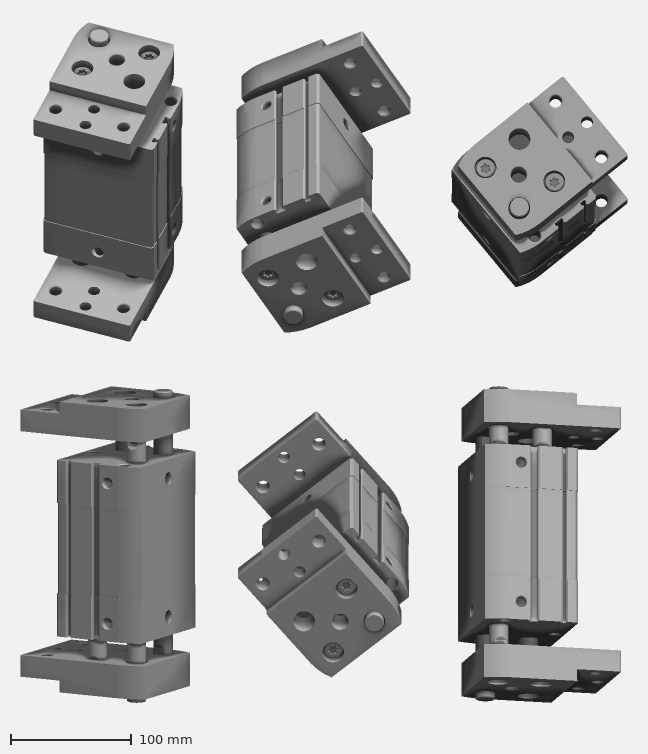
import cadquery as cq
import math


HOUSING_WIDTH = 98.0
HOUSING_DEPTH = 79.0
HOUSING_HEIGHT = 148.0
CAP_HEIGHT = 36.0
MIDDLE_INSET = 0.64
HOUSING_CHAMFER = 2.0
SIDE_ROUND_DEPTH = 19.5
SIDE_ROUND_INSET = 4.0

SLOT_DEPTH = 5.0
SLOT_LIP = 2.5
SLOT_UNDERCUT = 1.0
WIDE_SLOT_Y = 41.5
WIDE_SLOT_NECK = 5.9
NARROW_SLOT_Y = 67.2
NARROW_SLOT_NECK = 2.8
SLOT_CHAMFER = 1.3

CROSS_HOLE_DIAMETER = 11.0
CROSS_HOLE_Z = 58.0
SIDE_HOLE_DIAMETER = 8.6
SIDE_HOLE_Y = 30.0
SIDE_HOLE_Z = 59.0
SIDE_HOLE_DEPTH = 5.0
END_HOLE_DIAMETER = 10.2
SIDE_END_HOLE_X = 41.5
SIDE_END_HOLE_Y = 18.0
FRONT_END_HOLE_Y = 71.5
END_HOLE_DEPTH = 25.5
HOLE_CHAMFER = 0.8

ROD_DIAMETER = 16.0
ROD_CHAMFER = 0.8
REAR_ROD_X = 22.1
REAR_ROD_Y = 17.5
FRONT_ROD_X = 23.0
FRONT_ROD_Y = 54.5
FLAT_WIDTH = 13.0
FLAT_RAMP = 2.5
REAR_FLAT_LENGTH = 6.4
FRONT_FLAT_LENGTH = 0.8

OVERALL_HEIGHT = 254.5
PLATE_WIDTH = 85.5
PLATE_REAR_Y = 1.0
PLATE_FRONT_Y = 117
PLATE_OUTER_Z = 122
PLATE_THICKNESS = 28
LIP_THICKNESS = 18.0
PLATE_ROUND_DEPTH = 22.1
PLATE_ROUND_INSET = 5.0
LIP_CHAMFER = 1.0
ROD_CLEARANCE_DIAMETER = 18.0
CENTRE_HOLE_DIAMETER = 13.0
CENTRE_HOLE_Y = 34.9
PIN_HOLE_DIAMETER = 10.0
PIN_HOLES_Y = (87.8, 107.9)
LIP_HOLE_DIAMETER = 10.2
LIP_HOLE_X = 30.0
LIP_HOLE_Y = 98.7

SCREW_HEAD_DIAMETER = 16.0
SCREW_HEAD_HEIGHT = 5.0
SCREW_HEAD_CHAMFER = 1.0
SCREW_RECESS = 5.3
SOCKET_CORE_DIAMETER = 6.0
SOCKET_LOBE_DIAMETER = 2.5
SOCKET_LOBES = 6
SOCKET_DEPTH = 3.0

HOUSING_TOP = HOUSING_HEIGHT / 2
MIDDLE_TOP = HOUSING_TOP - CAP_HEIGHT
PLATE_INNER_Z = PLATE_OUTER_Z - PLATE_THICKNESS
ROD_TIP_Z = OVERALL_HEIGHT / 2


def cylinder(diameter, x, y, z_start, z_end):
    """Upright cylinder; the depth of y is counted toward the front."""
    return cq.Workplane("XY", origin=(x, -y, z_start)).circle(diameter / 2).extrude(z_end - z_start)


def countersink(diameter, x, y, face_z, direction=-1):
    """Cone cutter that breaks a hole edge; it narrows along `direction` in Z."""
    mouth = cq.Vector(x, -y, face_z)
    return cq.Workplane(
        cq.Solid.makeCone(
            diameter / 2 + HOLE_CHAMFER, diameter / 2, HOLE_CHAMFER, mouth, cq.Vector(0, 0, direction)
        )
    )


def round_backed_block(half_width, rear, front, round_depth, round_inset, z_start, z_end):
    """Block whose rear sides curve inward, tangent to the flat sides."""
    radius = (round_depth**2 + round_inset**2) / (2 * round_inset)
    half_angle = math.asin(round_depth / radius) / 2
    mid_x = half_width - radius * (1 - math.cos(half_angle))
    tangent_y = -(rear + round_depth)
    mid_y = tangent_y + radius * math.sin(half_angle)
    return (
        cq.Workplane("XY", origin=(0, 0, z_start))
        .moveTo(-half_width, -front)
        .lineTo(half_width, -front)
        .lineTo(half_width, tangent_y)
        .threePointArc((mid_x, mid_y), (half_width - round_inset, -rear))
        .lineTo(-half_width + round_inset, -rear)
        .threePointArc((-mid_x, mid_y), (-half_width, tangent_y))
        .close()
        .extrude(z_end - z_start)
    )


def housing_section(inset, z_start, z_end):
    block = round_backed_block(
        HOUSING_WIDTH / 2 - inset, 0, HOUSING_DEPTH - inset, SIDE_ROUND_DEPTH, SIDE_ROUND_INSET, z_start, z_end
    )
    return block.faces("<Y").edges("|Z").chamfer(HOUSING_CHAMFER)


def slot_cutter(y, neck, depth, height):
    """Vertical T-slot with a chamfered mouth, for the +X side, centred in height."""
    surface = HOUSING_WIDTH / 2
    half_neck = neck / 2
    half_undercut = half_neck + SLOT_UNDERCUT
    upper_half = [
        (surface, half_neck + SLOT_CHAMFER),
        (surface - SLOT_CHAMFER, half_neck),
        (surface - SLOT_LIP, half_neck),
        (surface - SLOT_LIP, half_undercut),
        (surface - depth, half_undercut),
    ]
    lower_half = [(x, -half_width) for x, half_width in reversed(upper_half)]
    outline = cq.Workplane("XY", origin=(0, -y, 0)).polyline(upper_half + lower_half).close()
    return outline.extrude(height / 2, both=True)


def cut_slots(body):
    """Both slots on both sides; their floors follow the inset of the middle section."""
    for y, neck in ((WIDE_SLOT_Y, WIDE_SLOT_NECK), (NARROW_SLOT_Y, NARROW_SLOT_NECK)):
        slot = slot_cutter(y, neck, SLOT_DEPTH, HOUSING_HEIGHT)
        slot = slot.union(slot_cutter(y, neck, SLOT_DEPTH + MIDDLE_INSET, 2 * MIDDLE_TOP))
        body = body.cut(slot).cut(slot.mirror("YZ"))
    return body


def side_hole_cutter(side, end):
    """Blind hole with a broken edge and a drill point, entering along X."""
    radius = SIDE_HOLE_DIAMETER / 2
    inward = cq.Workplane("XY").polyline([
        (0, 0),
        (radius + HOLE_CHAMFER, 0),
        (radius, HOLE_CHAMFER),
        (radius, SIDE_HOLE_DEPTH),
        (0, SIDE_HOLE_DEPTH + radius / math.sqrt(3)),
    ]).close().revolve(360, (0, 0, 0), (0, 1, 0))
    placed = inward.rotate((0, 0, 0), (0, 0, 1), side * 90)
    return placed.translate((side * HOUSING_WIDTH / 2, -SIDE_HOLE_Y, end * SIDE_HOLE_Z))


def end_hole_cutter(x, y):
    """Blind hole with a broken edge in the top face of the housing."""
    hole = cylinder(END_HOLE_DIAMETER, x, y, HOUSING_TOP - END_HOLE_DEPTH, HOUSING_TOP)
    return hole.union(countersink(END_HOLE_DIAMETER, x, y, HOUSING_TOP))


def cut_housing_holes(body):
    for end in (-1, 1):
        cross_hole = (
            cq.Workplane("XZ", origin=(0, 0, end * CROSS_HOLE_Z))
            .circle(CROSS_HOLE_DIAMETER / 2)
            .extrude(HOUSING_DEPTH)
        )
        body = body.cut(cross_hole)
        for side in (-1, 1):
            body = body.cut(side_hole_cutter(side, end))

    end_holes = (
        (-SIDE_END_HOLE_X, SIDE_END_HOLE_Y),
        (SIDE_END_HOLE_X, SIDE_END_HOLE_Y),
        (0, FRONT_END_HOLE_Y),
    )
    for x, y in end_holes:
        hole = end_hole_cutter(x, y)
        body = body.cut(hole).cut(hole.mirror("XY"))
    return body


def rear_rod_blank():
    return cylinder(ROD_DIAMETER, REAR_ROD_X, REAR_ROD_Y, -ROD_TIP_Z, PLATE_INNER_Z)


def front_rod_blank():
    return cylinder(ROD_DIAMETER, -FRONT_ROD_X, FRONT_ROD_Y, -MIDDLE_TOP, PLATE_INNER_Z)


def turn_over(body):
    """Half turn about the Y axis, which swaps the upper and the lower slide."""
    return body.rotate((0, 0, 0), (0, 1, 0), 180)


def make_housing():
    body = housing_section(MIDDLE_INSET, -MIDDLE_TOP, MIDDLE_TOP)
    body = body.union(housing_section(0, MIDDLE_TOP, HOUSING_TOP))
    body = body.union(housing_section(0, -HOUSING_TOP, -MIDDLE_TOP))
    body = cut_slots(body)
    body = cut_housing_holes(body)
    for rod in (rear_rod_blank(), front_rod_blank()):
        body = body.cut(rod).cut(turn_over(rod))
    return body


def cut_wrench_flats(rod, x, y, flat_length):
    """Two flats facing +X and -X, each running out of the plate and ending in a slope."""
    radius = ROD_DIAMETER / 2
    half_flat = FLAT_WIDTH / 2
    flat_end = PLATE_INNER_Z - flat_length
    slope = FLAT_RAMP / (radius - half_flat)
    outer = ROD_DIAMETER
    for side in (-1, 1):
        cutter = (
            cq.Workplane("XZ", origin=(x, -y, 0))
            .moveTo(side * half_flat, PLATE_INNER_Z)
            .lineTo(side * half_flat, flat_end)
            .lineTo(side * outer, flat_end - slope * (outer - half_flat))
            .lineTo(side * outer, PLATE_INNER_Z)
            .close()
            .extrude(radius, both=True)
        )
        rod = rod.cut(cutter)
    return rod


def make_rear_rod():
    rod = rear_rod_blank().faces("<Z").chamfer(ROD_CHAMFER)
    return cut_wrench_flats(rod, REAR_ROD_X, REAR_ROD_Y, REAR_FLAT_LENGTH)


def make_front_rod():
    return cut_wrench_flats(front_rod_blank(), -FRONT_ROD_X, FRONT_ROD_Y, FRONT_FLAT_LENGTH)


def make_screw_head(x, y):
    """Screw head with a six-lobed socket, below the outer face of the plate."""
    top = PLATE_OUTER_Z - SCREW_RECESS
    head = cylinder(SCREW_HEAD_DIAMETER, x, y, top - SCREW_HEAD_HEIGHT, top)
    head = head.faces(">Z").chamfer(SCREW_HEAD_CHAMFER)
    socket = cylinder(SOCKET_CORE_DIAMETER, x, y, top - SOCKET_DEPTH, top)
    for lobe in range(SOCKET_LOBES):
        angle = math.pi / 2 + lobe * 2 * math.pi / SOCKET_LOBES
        lobe_x = x + SOCKET_CORE_DIAMETER / 2 * math.cos(angle)
        lobe_y = y + SOCKET_CORE_DIAMETER / 2 * math.sin(angle)
        socket = socket.union(cylinder(SOCKET_LOBE_DIAMETER, lobe_x, lobe_y, top - SOCKET_DEPTH, top))
    return head.cut(socket)


def make_plate():
    lip_top = PLATE_INNER_Z + LIP_THICKNESS
    plate = round_backed_block(
        PLATE_WIDTH / 2, PLATE_REAR_Y, PLATE_FRONT_Y, PLATE_ROUND_DEPTH, PLATE_ROUND_INSET,
        PLATE_INNER_Z, PLATE_OUTER_Z,
    )
    plate = plate.faces("<Y").edges("|Z").chamfer(LIP_CHAMFER)
    step_length = PLATE_FRONT_Y - HOUSING_DEPTH
    step = (
        cq.Workplane("XY", origin=(0, -HOUSING_DEPTH - step_length / 2, lip_top))
        .rect(PLATE_WIDTH, step_length)
        .extrude(PLATE_OUTER_Z - lip_top)
    )
    plate = plate.cut(step)

    for x, y in ((-REAR_ROD_X, REAR_ROD_Y), (FRONT_ROD_X, FRONT_ROD_Y)):
        plate = plate.cut(cylinder(ROD_CLEARANCE_DIAMETER, x, y, PLATE_INNER_Z, PLATE_OUTER_Z))

    seat = PLATE_OUTER_Z - SCREW_RECESS - SCREW_HEAD_HEIGHT
    for x, y in ((REAR_ROD_X, REAR_ROD_Y), (-FRONT_ROD_X, FRONT_ROD_Y)):
        plate = plate.cut(cylinder(ROD_CLEARANCE_DIAMETER, x, y, seat, PLATE_OUTER_Z))

    plate = plate.cut(cylinder(CENTRE_HOLE_DIAMETER, 0, CENTRE_HOLE_Y, PLATE_INNER_Z, PLATE_OUTER_Z))
    plate = plate.cut(countersink(CENTRE_HOLE_DIAMETER, 0, CENTRE_HOLE_Y, PLATE_OUTER_Z))

    for y in PIN_HOLES_Y:
        plate = plate.cut(cylinder(PIN_HOLE_DIAMETER, 0, y, PLATE_INNER_Z, lip_top))
    for x in (-LIP_HOLE_X, LIP_HOLE_X):
        plate = plate.cut(cylinder(LIP_HOLE_DIAMETER, x, LIP_HOLE_Y, PLATE_INNER_Z, lip_top))
        plate = plate.cut(countersink(LIP_HOLE_DIAMETER, x, LIP_HOLE_Y, lip_top))
        plate = plate.cut(countersink(LIP_HOLE_DIAMETER, x, LIP_HOLE_Y, PLATE_INNER_Z, 1))
    return plate


def make_slide():
    """Upper slide: plate, its two rods and their screw heads."""
    slide = make_plate().union(make_rear_rod()).union(make_front_rod())
    slide = slide.union(make_screw_head(REAR_ROD_X, REAR_ROD_Y))
    return slide.union(make_screw_head(-FRONT_ROD_X, FRONT_ROD_Y))


housing = make_housing()
upper_slide = make_slide()
slides = [upper_slide, turn_over(upper_slide)]

result = cq.Compound.makeCompound([housing.val()] + [slide.val() for slide in slides])